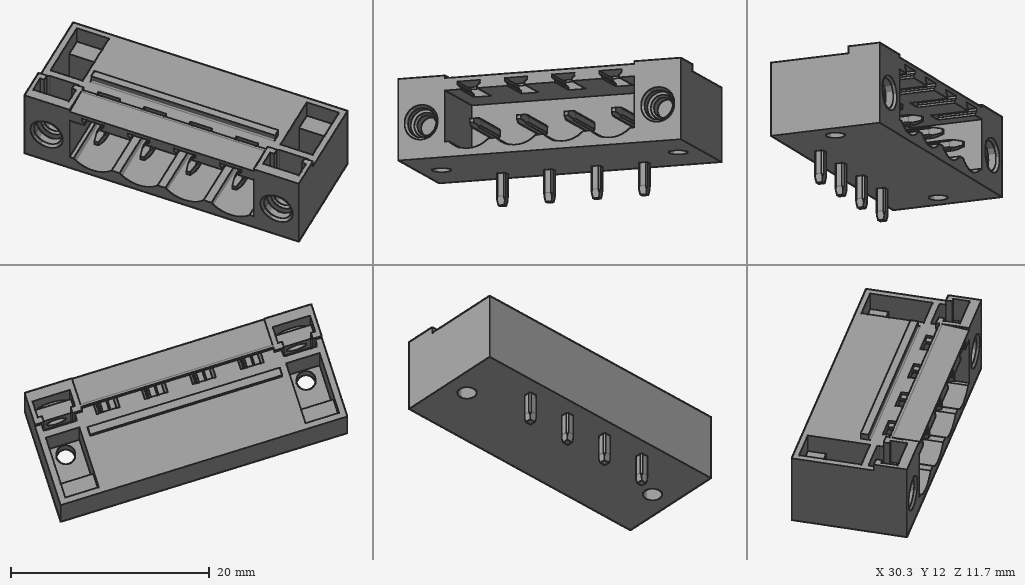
import cadquery as cq


LENGTH = 30.32
DEPTH = 12.0
DECK_Z = 7.67
TOP_Z = 8.4
FLANGE_DEPTH = 3.45

PIN_COUNT = 4
ROW_LENGTH = 20.3
PITCH = ROW_LENGTH / PIN_COUNT
PIN_Z = 3.75
PIN_WIDTH = 1.0
PIN_EDGE = 0.18
PIN_TIP_Y = 0.9
MATING_TAPER = 1.33
MATING_TIP_WIDTH = 0.42
LEG_Y = 9.88
LEG_LENGTH = 3.25
LEG_TAPER = 0.9
LEG_TIP_WIDTH = 0.65
PIN_POSITIONS = [(i - (PIN_COUNT - 1) / 2) * PITCH for i in range(PIN_COUNT)]

CAVITY_DEPTH = 7.88
CAVITY_FLOOR_Z = 1.58
CAVITY_CEILING_Z = 6.85
SCALLOP_RADIUS = 3.03

ROOF_DEPTH = 3.1
ROOF_FLAT = 0.27
ROOF_DROP = 0.27

GROOVE_DEPTH = 4.12
GROOVE_TOP_WIDTH = 2.43
GROOVE_MOUTH_WIDTH = 1.82
GROOVE_SIDE_HEIGHT = 0.27
GROOVE_SLANT_HEIGHT = 0.3

RIB_FRONT_Y = 5.28
RIB_WIDTH = 0.82
RIB_HEIGHT = 0.65
RIB_FOOT = 0.15

FLANGE_X = (PIN_COUNT + 1) / 2 * PITCH
FLANGE_SIDES = (-FLANGE_X, FLANGE_X)

SCREW_HOLE_RADIUS = 1.52
SCREW_HOLE_CHAMFER = 0.27

NUT_WIDTH = 3.95
NUT_FRONT_Y = 1.45
NUT_BACK_Y = 2.82
NUT_BORE_RADIUS = 1.03
NUT_CHAMFER = 0.25
NUT_BOTTOM_Z = PIN_Z - NUT_WIDTH / 2
NUT_TOP_Z = PIN_Z + NUT_WIDTH / 2
POCKET_FRONT_Y = 1.1
NECK_WIDTH = 3.03
BAY_WIDTH = 3.55
POCKET_BACK_Y = 4.18
POCKET_CORNER = 0.2

BAY_FRONT_Y = 4.9
BAY_BACK_Y = 11.4
BAY_FLOOR_Z = 2.0
LEDGE_Y = 9.5
LEDGE_Z = 5.73
BOARD_HOLE_RADIUS = 0.97
BOARD_HOLE_Y = 5.97


def block(x, width, y_range, z_range):
    """Box centred on x, spanning the given Y and Z ranges."""
    y0, y1 = y_range
    z0, z1 = z_range
    box = cq.Workplane("XY").box(width, y1 - y0, z1 - z0, centered=(True, False, False))
    return box.translate((x, y0, z0))


def extrude_back(sketch_points, y0, y1):
    """Closed outline of (x, z) points extruded from y0 to y1."""
    plane = cq.Workplane("XZ", origin=(0, y0, 0))
    return plane.polyline(sketch_points).close().extrude(y0 - y1)


def extrude_along_row(sketch_points, width):
    """Closed outline of (y, z) points extruded along X, centred on the row."""
    return cq.Workplane("YZ").polyline(sketch_points).close().extrude(width / 2, both=True)


def cylinder_back(x, radius, y0, y1):
    """Cylinder along Y at the height of the pins."""
    return cq.Workplane("XZ", origin=(x, y0, PIN_Z)).circle(radius).extrude(y0 - y1)


def cone_back(x, front_radius, depth, y0):
    """45-degree cone narrowing backwards from y0."""
    axis = cq.Vector(0, 1, 0)
    start = cq.Vector(x, y0, PIN_Z)
    return cq.Workplane(cq.Solid.makeCone(front_radius, front_radius - depth, depth, start, axis))


def tapered_bar(length, taper, tip_width):
    """Edge-chamfered square bar from Z = 0 up to a tapered tip at Z = length."""
    bar = cq.Workplane("XY").rect(PIN_WIDTH, PIN_WIDTH).extrude(length).edges("|Z").chamfer(PIN_EDGE)
    shaft = cq.Workplane("XY").rect(PIN_WIDTH, PIN_WIDTH).extrude(length - taper)
    tip = (
        cq.Workplane("XY", origin=(0, 0, length - taper))
        .rect(PIN_WIDTH, PIN_WIDTH)
        .workplane(offset=taper)
        .rect(tip_width, tip_width)
        .loft(ruled=True)
    )
    return bar.intersect(shaft.union(tip))


def make_pin(x):
    """Right-angle pin: a mating arm along Y and a solder leg pointing down."""
    bend_y = LEG_Y + PIN_WIDTH / 2
    bend_z = PIN_Z + PIN_WIDTH / 2
    arm = tapered_bar(bend_y - PIN_TIP_Y, MATING_TAPER, MATING_TIP_WIDTH)
    arm = arm.rotate((0, 0, 0), (1, 0, 0), 90).translate((x, bend_y, PIN_Z))
    leg = tapered_bar(bend_z + LEG_LENGTH, LEG_TAPER, LEG_TIP_WIDTH)
    leg = leg.rotate((0, 0, 0), (1, 0, 0), 180).translate((x, LEG_Y, bend_z))
    return arm.union(leg)


def make_nut(x):
    """Square nut with a countersunk through bore."""
    body = block(x, NUT_WIDTH, (NUT_FRONT_Y, NUT_BACK_Y), (NUT_BOTTOM_Z, NUT_TOP_Z))
    bore = cylinder_back(x, NUT_BORE_RADIUS, NUT_FRONT_Y, NUT_BACK_Y)
    countersink = cone_back(x, NUT_BORE_RADIUS + NUT_CHAMFER, NUT_CHAMFER, NUT_FRONT_Y)
    return body.cut(bore).cut(countersink)


def make_roof():
    """Raised strip above the cavity, sloping down to the mating face."""
    slope_back_y = ROOF_DEPTH - ROOF_FLAT
    outline = [
        (0, DECK_Z),
        (0, TOP_Z - ROOF_DROP),
        (slope_back_y, TOP_Z),
        (ROOF_DEPTH, TOP_Z),
        (ROOF_DEPTH, DECK_Z),
    ]
    return extrude_along_row(outline, ROW_LENGTH)


def make_rib():
    """Rib on the deck with a concave fillet along its front foot."""
    foot_z = DECK_Z + RIB_FOOT
    top_z = DECK_Z + RIB_HEIGHT
    back_y = RIB_FRONT_Y + RIB_WIDTH
    return (
        cq.Workplane("YZ")
        .moveTo(RIB_FRONT_Y - RIB_FOOT, DECK_Z)
        .radiusArc((RIB_FRONT_Y, foot_z), -RIB_FOOT)
        .lineTo(RIB_FRONT_Y, top_z)
        .lineTo(back_y, top_z)
        .lineTo(back_y, DECK_Z)
        .close()
        .extrude(ROW_LENGTH / 2, both=True)
    )


def make_cavity():
    """Mating cavity with a scalloped floor, one scallop centred on each pin."""
    cavity = block(0, ROW_LENGTH, (0, CAVITY_DEPTH), (CAVITY_FLOOR_Z, CAVITY_CEILING_Z))
    for x in PIN_POSITIONS:
        lower_half = block(x, PITCH, (0, CAVITY_DEPTH), (0, PIN_Z))
        scallop = cylinder_back(x, SCALLOP_RADIUS, 0, CAVITY_DEPTH).intersect(lower_half)
        cavity = cavity.union(scallop)
    return cavity


def make_groove(x):
    """Dovetail keying groove that breaks through the deck behind the roof."""
    half_top = GROOVE_TOP_WIDTH / 2
    half_mouth = GROOVE_MOUTH_WIDTH / 2
    slant_top_z = DECK_Z - GROOVE_SIDE_HEIGHT
    slant_bottom_z = slant_top_z - GROOVE_SLANT_HEIGHT
    outline = [
        (x - half_top, DECK_Z),
        (x + half_top, DECK_Z),
        (x + half_top, slant_top_z),
        (x + half_mouth, slant_bottom_z),
        (x + half_mouth, CAVITY_CEILING_Z),
        (x - half_mouth, CAVITY_CEILING_Z),
        (x - half_mouth, slant_bottom_z),
        (x - half_top, slant_top_z),
    ]
    return extrude_back(outline, 0, GROOVE_DEPTH)


def make_nut_pocket(x):
    """Pocket open at the top: nut seat, narrower neck and a wider rear with rounded corners."""
    heights = (NUT_BOTTOM_Z, TOP_Z)
    seat = block(x, NUT_WIDTH, (POCKET_FRONT_Y, NUT_BACK_Y), heights)
    neck = block(x, NECK_WIDTH, (NUT_BACK_Y, FLANGE_DEPTH), heights)
    rear = block(x, BAY_WIDTH, (FLANGE_DEPTH, POCKET_BACK_Y), heights)
    rear = rear.edges("|Z and >Y").fillet(POCKET_CORNER)
    return seat.union(neck).union(rear)


def make_screw_hole(x):
    """Chamfered hole from the mating face to the nut pocket."""
    hole = cylinder_back(x, SCREW_HOLE_RADIUS, 0, POCKET_FRONT_Y)
    return hole.union(cone_back(x, SCREW_HOLE_RADIUS + SCREW_HOLE_CHAMFER, SCREW_HOLE_CHAMFER, 0))


def make_board_screw_bay(x):
    """Open bay with a raised ledge at the back and a hole through the floor."""
    front = block(x, BAY_WIDTH, (BAY_FRONT_Y, LEDGE_Y), (BAY_FLOOR_Z, DECK_Z))
    back = block(x, BAY_WIDTH, (LEDGE_Y, BAY_BACK_Y), (LEDGE_Z, DECK_Z))
    hole = cq.Workplane("XY").center(x, BOARD_HOLE_Y).circle(BOARD_HOLE_RADIUS).extrude(BAY_FLOOR_Z)
    return front.union(back).union(hole)


def make_housing(pins):
    """Housing with every pocket and a matching hole for each pin."""
    housing = block(0, LENGTH, (0, DEPTH), (0, DECK_Z))
    flange_width = (LENGTH - ROW_LENGTH) / 2
    for side in (-1, 1):
        flange_middle = side * (LENGTH - flange_width) / 2
        housing = housing.union(block(flange_middle, flange_width, (0, FLANGE_DEPTH), (DECK_Z, TOP_Z)))
    housing = housing.union(make_roof()).union(make_rib()).cut(make_cavity())
    for x in PIN_POSITIONS:
        housing = housing.cut(make_groove(x))
    for x in FLANGE_SIDES:
        housing = housing.cut(make_nut_pocket(x)).cut(make_screw_hole(x)).cut(make_board_screw_bay(x))
    for pin in pins:
        housing = housing.cut(pin)
    return housing


pins = [make_pin(x) for x in PIN_POSITIONS]
nuts = [make_nut(x) for x in FLANGE_SIDES]
housing = make_housing(pins)

result = cq.Compound.makeCompound(
    [housing.val()] + [pin.val() for pin in pins] + [nut.val() for nut in nuts]
)